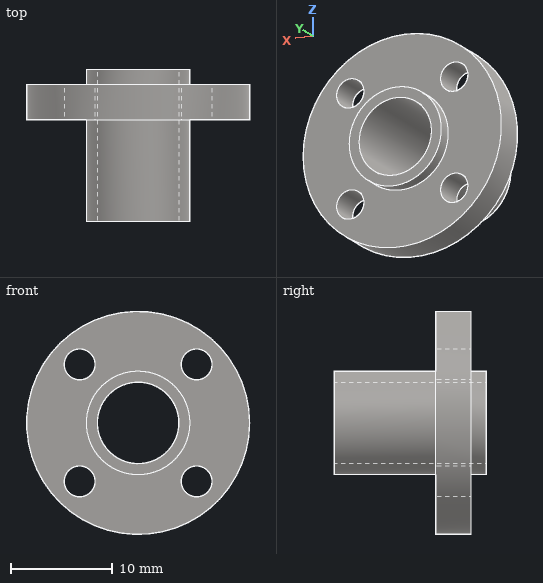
import cadquery as cq

flange_diameter = 22.0
flange_thickness = 3.5
tube_diameter = 10.2
bore_diameter = 8.0
front_tube_length = 10.0
rear_hub_length = 1.5
bolt_hole_diameter = 3.01
bolt_hole_offset = 5.76

total_length = front_tube_length + flange_thickness + rear_hub_length


def cylinder(diameter, start_y, length):
    """Cylinder on the Y axis, running from start_y toward +Y."""
    base = cq.Plane(origin=(0, start_y, 0), xDir=(1, 0, 0), normal=(0, 1, 0))
    return cq.Workplane(base).circle(diameter / 2).extrude(length)


tube = cylinder(tube_diameter, -front_tube_length, total_length)
flange = cylinder(flange_diameter, 0, flange_thickness)
bore = cylinder(bore_diameter, -front_tube_length, total_length)

bolt_hole = cylinder(bolt_hole_diameter, 0, flange_thickness)
body = tube.union(flange).cut(bore)
for x_side in (-1, 1):
    for z_side in (-1, 1):
        position = (x_side * bolt_hole_offset, 0, z_side * bolt_hole_offset)
        body = body.cut(bolt_hole.translate(position))

result = body